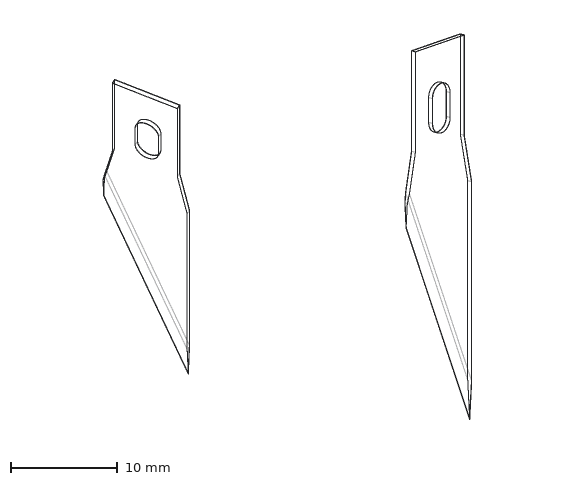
import cadquery as cq
import math

length = 38.22
width = 8.9
thickness = 0.5

shoulder_step = 1.05
tang_bottom = 28.32
shoulder_bottom = 23.5

heel_height = 21.05
bevel_height = 3.85

slot_width = 2.45
slot_length = 4.9
slot_x = 4.65
slot_depth_from_top = 6.42


def blade_blank():
    outline = [
        (shoulder_step, length),
        (width - shoulder_step, length),
        (width - shoulder_step, tang_bottom),
        (width, shoulder_bottom),
        (width, 0),
        (0, heel_height),
        (0, shoulder_bottom),
        (shoulder_step, tang_bottom),
    ]
    return cq.Workplane("XZ").polyline(outline).close().extrude(thickness / 2, both=True)


def mounting_slot():
    return (
        cq.Workplane("XZ")
        .center(slot_x, length - slot_depth_from_top)
        .slot2D(slot_length, slot_width, 90)
        .extrude(thickness, both=True)
    )


def bevel_cutter(side):
    """Triangular prism along the cutting edge; side is +1 or -1 for the +Y or -Y face."""
    edge_length = math.hypot(width, heel_height)
    bevel_width = bevel_height * width / edge_length
    overrun = width

    across = cq.Vector(heel_height, 0, width).normalized()
    along = cq.Vector(-width, 0, heel_height).normalized()
    start = cq.Vector(width, 0, 0) - along * overrun
    plane = cq.Plane(origin=start, xDir=across, normal=along)
    y_sign = side * plane.yDir.y

    slope = thickness / 2 / bevel_width
    reach = 2 * bevel_width
    section = [
        (-bevel_width, -y_sign * slope * bevel_width),
        (reach, y_sign * slope * reach),
        (-bevel_width, y_sign * slope * reach),
    ]
    return cq.Workplane(plane).polyline(section).close().extrude(edge_length + 2 * overrun)


result = blade_blank().cut(mounting_slot())
for face_side in (1, -1):
    result = result.cut(bevel_cutter(face_side))